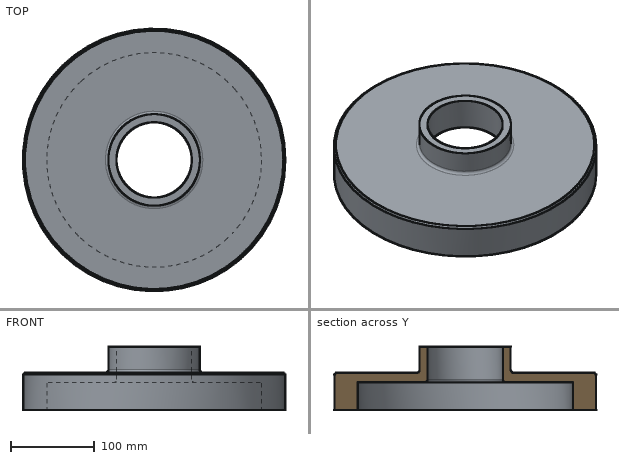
import cadquery as cq

disc_diameter = 315.0
hub_diameter = 110.0
bore_diameter = 90.0
recess_diameter = 257.5
total_height = 76.2
disc_height = 45.0
web_thickness = 11.5
rim_chamfer = 2.5
hub_fillet = 3.5
bore_fillet = 3.0

hub_height = total_height - disc_height
recess_depth = disc_height - web_thickness

disc = (
    cq.Workplane("XY")
    .circle(disc_diameter / 2)
    .extrude(disc_height)
    .faces(">Z")
    .edges()
    .chamfer(rim_chamfer)
)

hub = (
    cq.Workplane("XY")
    .workplane(offset=disc_height)
    .circle(hub_diameter / 2)
    .extrude(hub_height)
)
hub_foot = cq.selectors.RadiusNthSelector(0)
body = disc.union(hub)
body = body.faces(">Z[-2]").edges(hub_foot).fillet(hub_fillet)

recess = cq.Workplane("XY").circle(recess_diameter / 2).extrude(recess_depth)

bore = cq.Workplane("XY").circle(bore_diameter / 2).extrude(total_height)
bore_mouth = cq.selectors.RadiusNthSelector(0)
hollow_body = body.cut(recess).cut(bore)
result = hollow_body.faces("|Z").faces(">Z[1]").edges(bore_mouth).fillet(bore_fillet)